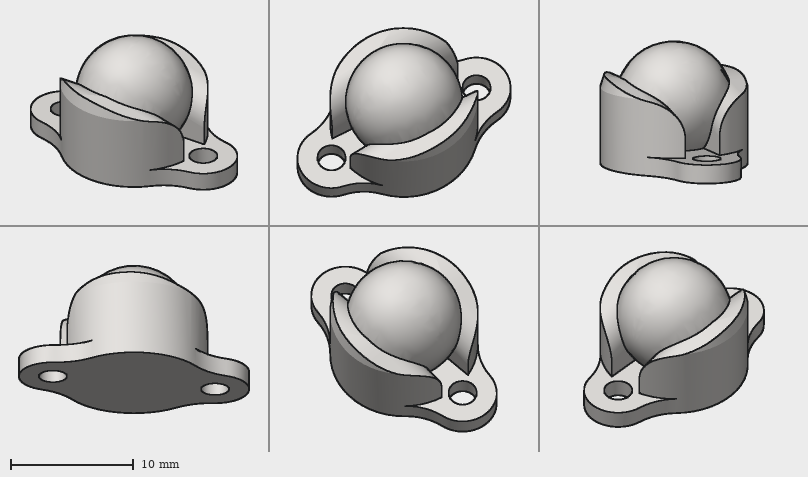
import cadquery as cq
import math

flange_thickness = 1.55
hole_offset = 6.73
hole_diameter = 2.29
lobe_radius = 2.785
neck_radius = 5.0

overall_height = 10.03
ball_radius = 4.7625
ball_center_z = overall_height - ball_radius

socket_radius = 6.03
socket_height = 7.35
bevel_start_z = 6.32
bevel_inset = 0.33

slope_angle = 15.0
roll_start_x = -1.75
roll_end_x = 1.63

channel_half_width = 1.525
level_lip_radius = 3.8
sloped_lip_radius = 2.58

slope = math.radians(slope_angle)
roll_radius = (roll_end_x - roll_start_x) / math.sin(slope)
roll_end_z = socket_height - roll_radius * (1 - math.cos(slope))
cut_margin = 2.0
reach = socket_radius + cut_margin


def make_neck(side_x, side_y):
    """Straight-sided web with one concave edge, tangent to the socket circle and a lobe."""
    to_socket = socket_radius + neck_radius
    to_lobe = lobe_radius + neck_radius
    center_x = (to_socket**2 - to_lobe**2 + hole_offset**2) / (2 * hole_offset)
    center_y = math.sqrt(to_socket**2 - center_x**2)

    socket_share = socket_radius / to_socket
    lobe_share = lobe_radius / to_lobe
    on_socket = (center_x * socket_share, center_y * socket_share)
    on_lobe = (
        hole_offset + (center_x - hole_offset) * lobe_share,
        center_y * lobe_share,
    )
    angle_socket = math.atan2(on_socket[1] - center_y, on_socket[0] - center_x)
    angle_lobe = math.atan2(on_lobe[1] - center_y, on_lobe[0] - center_x)
    angle_middle = (angle_socket + angle_lobe) / 2
    middle = (
        center_x + neck_radius * math.cos(angle_middle),
        center_y + neck_radius * math.sin(angle_middle),
    )

    def placed(point):
        return (side_x * point[0], side_y * point[1])

    return (
        cq.Workplane("XY")
        .moveTo(0, 0)
        .lineTo(*placed(on_socket))
        .threePointArc(placed(middle), placed(on_lobe))
        .lineTo(side_x * hole_offset, 0)
        .close()
        .extrude(flange_thickness)
    )


def make_flange():
    """Plate with a round middle, two lobes and four blended necks."""
    flange = cq.Workplane("XY").circle(socket_radius).extrude(flange_thickness)
    hole_centers = [(-hole_offset, 0), (hole_offset, 0)]
    lobes = cq.Workplane("XY").pushPoints(hole_centers).circle(lobe_radius).extrude(flange_thickness)
    flange = flange.union(lobes)
    for side_x in (-1, 1):
        for side_y in (-1, 1):
            flange = flange.union(make_neck(side_x, side_y))
    holes = cq.Workplane("XY").pushPoints(hole_centers).circle(hole_diameter / 2).extrude(flange_thickness)
    return flange.cut(holes)


def make_socket_blank():
    """Turned body: a cylinder with a bevelled top."""
    return (
        cq.Workplane("XZ")
        .moveTo(0, 0)
        .lineTo(socket_radius, 0)
        .lineTo(socket_radius, bevel_start_z)
        .lineTo(socket_radius - bevel_inset, socket_height)
        .lineTo(0, socket_height)
        .close()
        .revolve(360, (0, 0, 0), (0, 1, 0))
    )


def make_roof_cutter():
    """Everything above the roll and the slope, across the full width."""
    roll_middle = (
        roll_start_x + roll_radius * math.sin(slope / 2),
        socket_height - roll_radius * (1 - math.cos(slope / 2)),
    )
    slope_end_z = roll_end_z - (reach - roll_end_x) * math.tan(slope)
    return (
        cq.Workplane("XZ")
        .moveTo(roll_start_x, socket_height)
        .threePointArc(roll_middle, (roll_end_x, roll_end_z))
        .lineTo(reach, slope_end_z)
        .lineTo(reach, socket_height + cut_margin)
        .lineTo(roll_start_x, socket_height + cut_margin)
        .close()
        .extrude(reach, both=True)
    )


def make_channel(plane, lip_radius, depth, length):
    """Channel cutter; the plane's origin lies on the roof and its normal runs along the channel."""
    lip_y = channel_half_width + lip_radius
    arc_inset = lip_radius * math.sqrt(0.5)
    lip_middle = (lip_y - arc_inset, arc_inset - lip_radius)
    return (
        cq.Workplane(plane)
        .moveTo(-channel_half_width, -depth)
        .lineTo(channel_half_width, -depth)
        .lineTo(channel_half_width, -lip_radius)
        .threePointArc(lip_middle, (lip_y, 0))
        .lineTo(lip_y, cut_margin)
        .lineTo(-lip_y, cut_margin)
        .lineTo(-lip_y, 0)
        .threePointArc((-lip_middle[0], lip_middle[1]), (-channel_half_width, -lip_radius))
        .close()
        .extrude(length)
    )


def make_socket():
    level_plane = cq.Plane(origin=(-reach, 0, socket_height), xDir=(0, 1, 0), normal=(1, 0, 0))
    sloped_plane = cq.Plane(
        origin=(roll_end_x, 0, roll_end_z),
        xDir=(0, 1, 0),
        normal=(math.cos(slope), 0, -math.sin(slope)),
    )
    level_channel = make_channel(level_plane, level_lip_radius, socket_height, 2 * reach)
    sloped_channel = make_channel(sloped_plane, sloped_lip_radius, socket_height, reach)
    return make_socket_blank().cut(make_roof_cutter()).cut(level_channel).cut(sloped_channel)


def make_ball():
    return cq.Workplane("YZ").sphere(ball_radius).translate((0, 0, ball_center_z))


result = make_flange().union(make_socket()).union(make_ball())